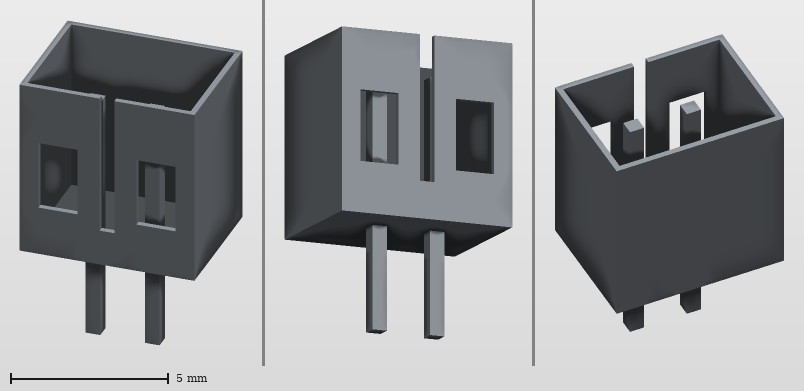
import cadquery as cq

WIDTH = 5.9
DEPTH = 4.5
TOTAL_HEIGHT = 9.4
HOUSING_HEIGHT = 6.0

WALL = 0.2
PLATE_THICKNESS = WALL
INNER_WIDTH = WIDTH - 2 * WALL
INNER_DEPTH = DEPTH - 2 * WALL

SLOT_WIDTH = 0.5
SLOT_BOTTOM = 1.22

WINDOW_INNER_X = 1.0
WINDOW_OUTER_X = 2.31
WINDOW_BOTTOM = 1.67
WINDOW_TOP = 4.0

PIN_SIDE = 0.5
PIN_PITCH = 2.0
PIN_FROM_FRONT = 1.71
PIN_TOP = 5.0
PIN_BOTTOM = HOUSING_HEIGHT - TOTAL_HEIGHT

FRONT_Y = -DEPTH / 2
PIN_Y = FRONT_Y + PIN_FROM_FRONT


def block(width, depth, bottom, top, x=0, y=0):
    """Upright box centred on (x, y), reaching from bottom to top."""
    return (
        cq.Workplane("XY", origin=(x, y, bottom))
        .rect(width, depth)
        .extrude(top - bottom)
    )


def front_wall_opening(width, bottom, top, x=0):
    """Cutter that passes through the front wall only."""
    return block(width, WALL, bottom, top, x, FRONT_Y + WALL / 2)


def make_header():
    """Base plate that fills the bottom of the housing and carries both pins."""
    header = block(INNER_WIDTH, INNER_DEPTH, 0, PLATE_THICKNESS)
    for side in (-1, 1):
        pin = block(PIN_SIDE, PIN_SIDE, PIN_BOTTOM, PIN_TOP, side * PIN_PITCH / 2, PIN_Y)
        header = header.union(pin)
    return header


def make_housing():
    """Rectangular sleeve with a keying slot and two windows in its front wall."""
    housing = block(WIDTH, DEPTH, 0, HOUSING_HEIGHT)
    housing = housing.cut(block(INNER_WIDTH, INNER_DEPTH, 0, HOUSING_HEIGHT))

    housing = housing.cut(front_wall_opening(SLOT_WIDTH, SLOT_BOTTOM, HOUSING_HEIGHT))

    window_width = WINDOW_OUTER_X - WINDOW_INNER_X
    window_x = (WINDOW_OUTER_X + WINDOW_INNER_X) / 2
    for side in (-1, 1):
        window = front_wall_opening(window_width, WINDOW_BOTTOM, WINDOW_TOP, side * window_x)
        housing = housing.cut(window)
    return housing


housing = make_housing()
header = make_header()

result = cq.Compound.makeCompound([housing.val(), header.val()])